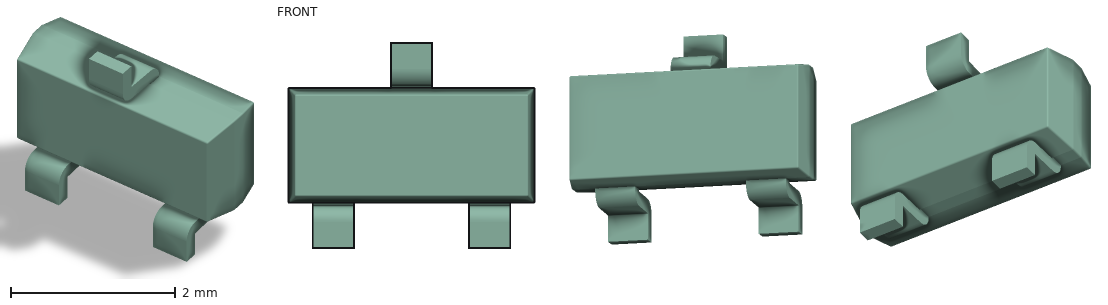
import cadquery as cq
import math


body_length = 3.0
body_height = 1.4
standoff = 0.13
front_depth = 0.462
belt_depth = 0.18
back_depth = 0.318
draft_angle = 10.0
edge_radius = 0.02

belt_front = standoff + front_depth
belt_back = belt_front + belt_depth

lead_span = 2.5
lead_width = 0.505
lead_thickness = belt_depth
lower_lead_offset = 0.95
foot_length = 0.318
arm_slope = 2.0
inner_bend_radius = 0.01
outer_bend_radius = inner_bend_radius + lead_thickness
lead_embed = 0.15


def body_half(depth, direction):
    """Tapered block growing from the belt towards -Y (1) or +Y (-1)."""
    start = belt_front if direction > 0 else belt_back
    return (
        cq.Workplane("XZ", origin=(0, start, 0))
        .rect(body_length, body_height)
        .extrude(direction * depth, taper=draft_angle)
    )


def make_body():
    belt = (
        cq.Workplane("XZ", origin=(0, belt_back, 0))
        .rect(body_length, body_height)
        .extrude(belt_depth)
    )
    body = belt.union(body_half(front_depth, 1)).union(body_half(back_depth, -1))
    end_rims = body.faces("<Y or >Y").edges()
    corners = body.edges("not #Y")
    return body.newObject(end_rims.vals() + corners.vals()).fillet(edge_radius)


def polar(center, radius, angle):
    """Point (y, z) at an angle in degrees, measured from +Y towards +Z."""
    turn = math.radians(angle)
    return (center[0] + radius * math.cos(turn), center[1] + radius * math.sin(turn))


def make_upper_lead():
    """Lead at X = 0: foot at the seating plane, arm, then down into the body."""
    tip_z = lead_span / 2
    root_z = body_height / 2 - lead_embed
    slope = math.radians(arm_slope)

    foot_bend = (outer_bend_radius, tip_z - foot_length)
    body_bend_y = belt_back - outer_bend_radius
    bend_spacing = body_bend_y - foot_bend[0]
    radius_sum = inner_bend_radius + outer_bend_radius
    bend_drop = (radius_sum + bend_spacing * math.sin(slope)) / math.cos(slope)
    body_bend = (body_bend_y, foot_bend[1] - bend_drop)

    foot_start = 180.0
    foot_end = 270.0 - arm_slope
    foot_mid = (foot_start + foot_end) / 2
    body_start = 90.0 - arm_slope
    body_mid = body_start / 2

    profile = (
        cq.Workplane("YZ", origin=(-lead_width / 2, 0, 0))
        .moveTo(0, tip_z)
        .lineTo(*polar(foot_bend, outer_bend_radius, foot_start))
        .threePointArc(
            polar(foot_bend, outer_bend_radius, foot_mid),
            polar(foot_bend, outer_bend_radius, foot_end),
        )
        .lineTo(*polar(body_bend, inner_bend_radius, body_start))
        .threePointArc(
            polar(body_bend, inner_bend_radius, body_mid),
            polar(body_bend, inner_bend_radius, 0),
        )
        .lineTo(belt_front, root_z)
        .lineTo(belt_back, root_z)
        .lineTo(*polar(body_bend, outer_bend_radius, 0))
        .threePointArc(
            polar(body_bend, outer_bend_radius, body_mid),
            polar(body_bend, outer_bend_radius, body_start),
        )
        .lineTo(*polar(foot_bend, inner_bend_radius, foot_end))
        .threePointArc(
            polar(foot_bend, inner_bend_radius, foot_mid),
            polar(foot_bend, inner_bend_radius, foot_start),
        )
        .lineTo(lead_thickness, tip_z)
        .close()
    )
    return profile.extrude(lead_width)


upper_lead = make_upper_lead()
lower_lead = upper_lead.mirror("XY")

result = make_body().union(upper_lead)
for side in (-1, 1):
    result = result.union(lower_lead.translate((side * lower_lead_offset, 0, 0)))